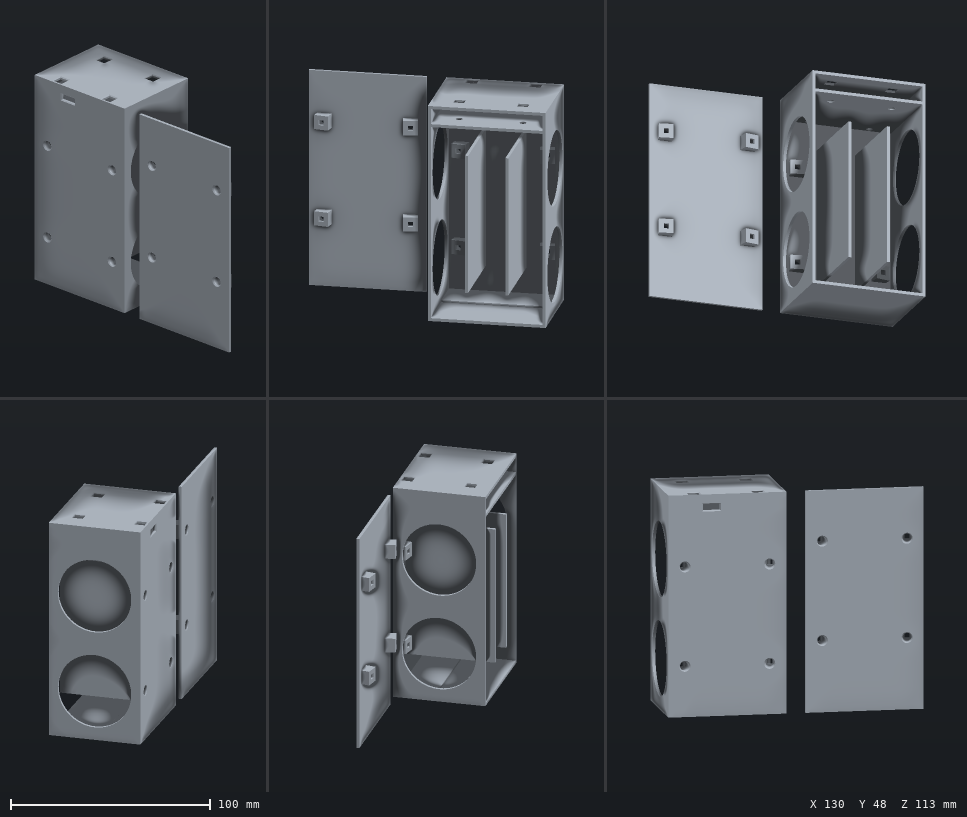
import cadquery as cq
import math

overall_length = 130.0
width = 60.0
depth = 48.0
height = 113.0
wall = 1.5
opening_chamfer = 0.5
cover_x = overall_length - width

speaker_diameter = 38.5
speaker_z = (25.9, 76.5)

socket_inset = 8.5
socket_tilt = 11.0
socket_size = 7.4
socket_length = 6.5
bore_diameter = 4.5
socket_end_wall = 1.3
lead_hole_size = 2.6

divider_x = 19.0
divider_bottom = 16.0
divider_top = 88.0

step_depth = 21.2
step_height = 1.0

shelf_top = height - 9.5
mount_pitch = 32.5
mount_front_y = 4.2
mount_hole_diameter = 3.5
window_size = 5.5

slot_center_x = 22.1
slot_center_z = height - 6.6
slot_length = 8.6
slot_height = 3.1


def box_between(x0, x1, y0, y1, z0, z1):
    """Box given by its limits along each axis."""
    return cq.Workplane("XY").box(x1 - x0, y1 - y0, z1 - z0, centered=False).translate((x0, y0, z0))


def chamfered_opening(face_plane, length, breadth):
    """Cutter through one wall, flared at the outer face that the plane lies on."""
    flare = 2 * opening_chamfer
    flared_mouth = (
        cq.Workplane(face_plane)
        .rect(length + flare, breadth + flare)
        .workplane(offset=-opening_chamfer)
        .rect(length, breadth)
        .loft(combine=True)
    )
    return flared_mouth.union(cq.Workplane(face_plane).rect(length, breadth).extrude(-wall))


def socket_plane(x, z, tilt):
    """Plane at a socket mouth on the outer face y = 0; its normal is the axis, pointing inward."""
    lean = math.radians(tilt)
    return cq.Plane(origin=(x, 0, z), xDir=(0, 0, 1), normal=(math.sin(lean), math.cos(lean), 0))


def add_sockets(panel, panel_x, socket_heights):
    """Add four tilted sockets to a panel whose outer face lies at y = 0, leaning to its two sides."""
    in_front = box_between(panel_x, panel_x + width, -depth, 0, 0, height)
    leans = (
        (panel_x + socket_inset, -socket_tilt),
        (panel_x + width - socket_inset, socket_tilt),
    )
    for x, tilt in leans:
        for z in socket_heights:
            plane = socket_plane(x, z, tilt)
            start = cq.Workplane(plane).workplane(offset=-wall)
            boss = start.rect(socket_size, socket_size).extrude(wall + socket_length).cut(in_front)
            bore = start.circle(bore_diameter / 2).extrude(wall + socket_length - socket_end_wall)
            lead_hole = cq.Workplane(plane).rect(lead_hole_size, lead_hole_size).extrude(2 * socket_length)
            panel = (
                panel.union(boss)
                .cut(bore)
                .cut(lead_hole)
            )
    return panel.faces("<Y").edges("%ELLIPSE").chamfer(opening_chamfer)


def make_housing():
    """Box open at the back, with shelf, dividers, speaker openings, windows, slot and sockets."""
    housing = box_between(0, width, 0, depth, 0, height)
    housing = housing.cut(box_between(wall, width - wall, wall, depth, wall, height - wall))

    housing = housing.union(box_between(0, width, 0, depth, shelf_top - wall, shelf_top))
    for x in (divider_x, width - divider_x - wall):
        housing = housing.union(box_between(x, x + wall, 0, depth, divider_bottom, divider_top))

    housing = housing.union(box_between(0, width, 0, step_depth, 0, wall + step_height))

    for wall_x in (0, width - wall):
        for z in speaker_z:
            side_plane = cq.Plane(origin=(wall_x, depth / 2, z), xDir=(0, 1, 0), normal=(1, 0, 0))
            housing = housing.cut(cq.Workplane(side_plane).circle(speaker_diameter / 2).extrude(wall))

    mount_left_x = (width - mount_pitch) / 2
    for x in (mount_left_x, mount_left_x + mount_pitch):
        for y in (mount_front_y, mount_front_y + mount_pitch):
            top_plane = cq.Plane(origin=(x, y, height))
            shelf_plane = cq.Plane(origin=(x, y, shelf_top))
            housing = housing.cut(chamfered_opening(top_plane, window_size, window_size))
            housing = housing.cut(cq.Workplane(shelf_plane).circle(mount_hole_diameter / 2).extrude(-wall))

    slot_plane = cq.Plane(origin=(slot_center_x, 0, slot_center_z), xDir=(1, 0, 0), normal=(0, -1, 0))
    housing = housing.cut(chamfered_opening(slot_plane, slot_length, slot_height))
    return add_sockets(housing, 0, speaker_z)


def make_cover():
    """Flat plate with sockets; it is turned upside down, so their heights are mirrored."""
    plate = box_between(cover_x, cover_x + width, 0, wall, 0, height)
    return add_sockets(plate, cover_x, [height - z for z in speaker_z])


housing = make_housing()
cover = make_cover()
result = cq.Compound.makeCompound([housing.val(), cover.val()])